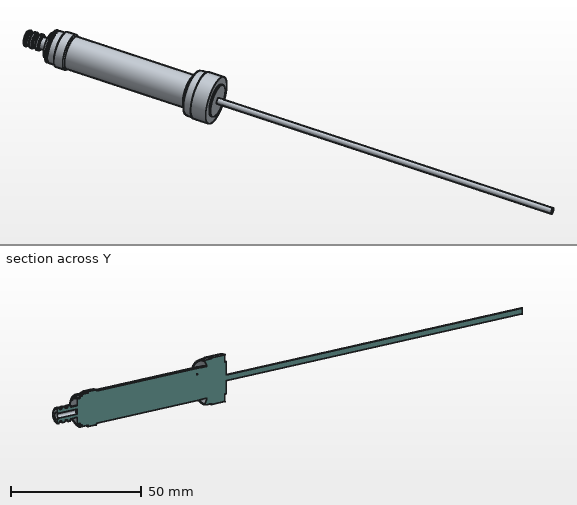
import cadquery as cq

total_length = 224.0

barb_count = 3
barb_diameter = 6.5
barb_length = 1.8
barb_pitch = 2.7
barb_chamfer = 0.5
first_barb_length = 1.3
nozzle_diameter = 5.0
bore_diameter = 1.8
bore_chamfer = 0.7

shoulder_start = 9.6
shoulder_diameter = 10.3
disc_start = 11.0
groove_start = 11.2
groove_end = 12.0
groove_diameter = 11.9
collar_start = 15.0
collar_end = 19.5
collar_diameter = 14.3
collar_chamfer = 0.7

barrel_diameter = 13.2
neck_start = 69.6
neck_diameter = 13.0

flange_start = 71.0
flange_diameter = 18.4
flange_chamfer_length = 1.0
flange_chamfer_height = 0.2
recess_mouth_diameter = 17.2
recess_depth = 1.1
cap_start = 74.3
cap_end = 80.8
cap_diameter = 19.0
boss_end = 81.5
boss_diameter = 13.0

rod_diameter = 2.5


def cylinder(start, end, diameter):
    """Solid cylinder on the X axis from start to end."""
    return cq.Workplane("YZ").workplane(offset=start).circle(diameter / 2).extrude(end - start)


def cone(start, end, start_diameter, end_diameter):
    """Solid truncated cone on the X axis from start to end."""
    base = cq.Vector(start, 0, 0)
    axis = cq.Vector(1, 0, 0)
    solid = cq.Solid.makeCone(start_diameter / 2, end_diameter / 2, end - start, base, axis)
    return cq.Workplane(solid)


def nozzle():
    body = cylinder(0, shoulder_start, nozzle_diameter)
    for i in range(barb_count):
        end = first_barb_length + i * barb_pitch
        start = max(end - barb_length, 0)
        barb = cylinder(start, end, barb_diameter).edges().chamfer(barb_chamfer)
        body = body.union(barb)
    bore = cylinder(0, shoulder_start, bore_diameter)
    bore_mouth = cone(0, bore_chamfer, bore_diameter + 2 * bore_chamfer, bore_diameter)
    return body.cut(bore).cut(bore_mouth)


def fitting():
    shoulder = cylinder(shoulder_start, disc_start, shoulder_diameter)
    disc = cylinder(disc_start, groove_start, barrel_diameter)
    groove_floor = cylinder(groove_start, groove_end, groove_diameter)
    collar = cylinder(collar_start, collar_end, collar_diameter)
    collar = collar.faces(">X").edges().chamfer(collar_chamfer)
    return shoulder.union(disc).union(groove_floor).union(collar)


def barrel():
    tube = cylinder(groove_end, neck_start, barrel_diameter)
    neck = cylinder(neck_start, cap_start, neck_diameter)
    return tube.union(neck)


def head():
    chamfer_end = flange_start + flange_chamfer_length
    front_diameter = flange_diameter - 2 * flange_chamfer_height
    flange = cone(flange_start, chamfer_end, front_diameter, flange_diameter)
    flange = flange.union(cylinder(chamfer_end, cap_start, flange_diameter))
    recess = cone(flange_start, flange_start + recess_depth, recess_mouth_diameter, neck_diameter)
    cap = cylinder(cap_start, cap_end, cap_diameter)
    boss = cylinder(cap_end, boss_end, boss_diameter)
    return flange.cut(recess).union(cap).union(boss)


def rod():
    return cylinder(boss_end, total_length, rod_diameter)


result = nozzle().union(fitting()).union(barrel()).union(head()).union(rod())